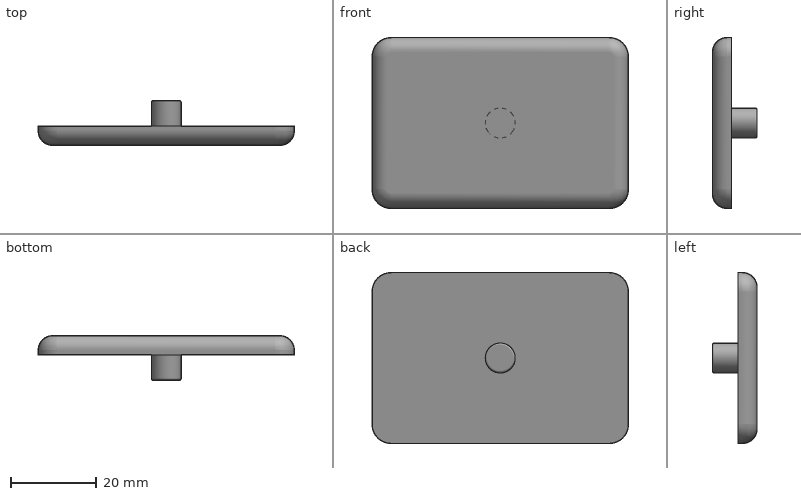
import cadquery as cq

plate_length = 60.0
plate_height = 40.0
plate_thickness = 4.5
corner_radius = 4.5
front_edge_radius = 3.5

stud_diameter = 7.0
total_depth = 10.5
stud_length = total_depth - plate_thickness
stud_tip_radius = 0.5


def make_plate():
    """Plate with rounded corners and a large round along its front edge."""
    block = cq.Workplane("XZ").rect(plate_length, plate_height).extrude(plate_thickness)
    return block.edges("|Y").fillet(corner_radius).faces("<Y").edges().fillet(front_edge_radius)


def make_stud():
    """Cylinder along +Y with a rounded tip edge."""
    cylinder = cq.Workplane("XZ").circle(stud_diameter / 2).extrude(-stud_length)
    return cylinder.faces(">Y").edges().fillet(stud_tip_radius)


result = make_plate().union(make_stud())